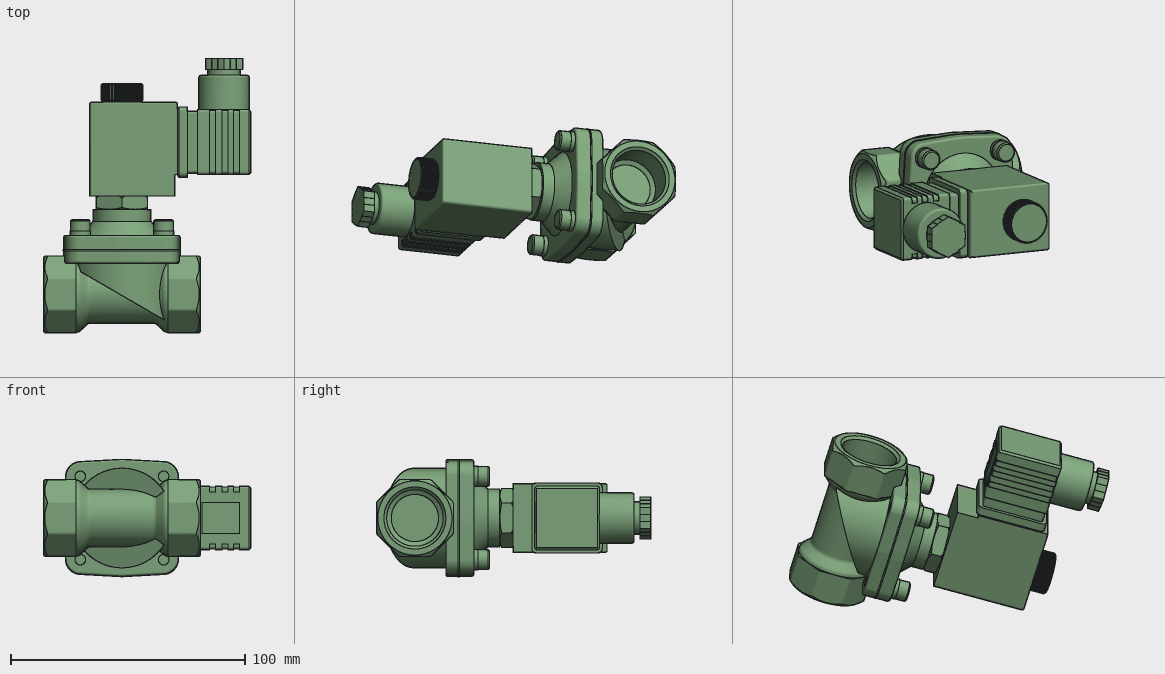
import cadquery as cq
import math


overall_length = 88.6
overall_height = 117.25

port_face = 33.5
octagon_flats = 32.8
octagon_length = 13.9
octagon_edge_round = 1.6
face_ring_radius = 15.85
face_cone_length = 1.8
corner_radius = octagon_flats / 2 / math.cos(math.pi / 8)
tube_radius = 12.4
flare_radius = 16.3
flare_length = 6.0
flare_outer_round = 2.8
flare_inner_round = 1.9
thread_diameter = 24.12
thread_depth = 14.5
thread_mouth_diameter = 26.5
seat_diameter = 20.2
seat_cone_slope = 30.0

chamber_radius = 21.3
chamber_cut_angle = 30.0
chamber_cut_drop = 0.5
flange_base = 13.2
diaphragm_base = 18.5
diaphragm_top = 19.1
bonnet_top = 25.2
flange_half = 24.95
flange_corner = 23.95
flange_corner_middle = 22.1
diaphragm_overhang = 0.14
body_middle_flat = 0.45
body_corner_start = 18.65
bonnet_middle_flat = 2.05
bonnet_corner_start = 17.6
body_edge_round = 0.9
bonnet_edge_round = 1.1

screw_spacing = 35.6
screw_head_diameter = 8.5
screw_head_top = 31.9
screw_head_chamfer = 0.6
boss_diameter = 8.8
boss_top = 27.0
screw_end_diameter = 4.5
screw_end_depth = 0.1

bonnet_cone_top = 30.1
bonnet_cone_base_radius = 18.0
bonnet_cone_top_radius = 13.4
shoulder_top = 31.2
collar_radius = 12.4
collar_top = 36.2
hexagon_flats = 22.0
hexagon_top_chamfer = 0.7
hexagon_base_cone_height = 0.9
hexagon_base_cone_width = 2.0
stem_diameter = 10.5
knob_diameter = 18.0
knob_neck_radius = 8.2
knob_base = 82.5
knob_top = 90.1
knob_chamfer = 0.7
knurl_teeth = 90
knurl_depth = 0.4

coil_base = 42.0
coil_top = 82.1
coil_left = -13.8
coil_right = 22.6
coil_half_depth = 14.65
coil_side_round = 1.15
coil_top_round = 0.8
pad_base = 51.2
pad_right = 23.7
terminal_right = 27.9
terminal_width = 30.1
terminal_corner = 2.1
terminal_chamfer = 0.7

plug_axis_height = 65.0
plug_height = 27.75
plug_depth = 27.2
plug_left = 32.2
plug_right = overall_length - port_face
plug_edge_round = 1.2
plug_end_chamfer = 0.9
plug_neck_inset = 0.55
rib_groove_width = 2.5
rib_groove_starts = (37.4, 42.7, 47.6)
rib_groove_depth = 0.35
rib_groove_wrap = 2.5
label_left = 34.2
label_right = 50.2
label_width = 13.1
label_depth = 0.2

gland_x = 43.6
gland_radius = 10.85
gland_top = 93.6
gland_edge_round = 1.0
gland_neck_radius = 7.0
gland_nut_base = 96.05
gland_nut_top = overall_height - octagon_flats / 2
gland_nut_flats = 15.6
gland_nut_rib_height = 0.2


def across(y, x=0.0):
    """Workplane square to the stem axis at height y, extruding toward +Y."""
    return cq.Workplane(cq.Plane(origin=(x, y, 0), xDir=(1, 0, 0), normal=(0, 1, 0)))


def block(x_range, y_range, z_range):
    spans = [high - low for low, high in (x_range, y_range, z_range)]
    corner = (x_range[0], y_range[0], z_range[0])
    return cq.Workplane().box(*spans, centered=False).translate(corner)


def prism(sides, flats):
    """Corner points of a regular polygon that has a flat on the local X axis."""
    radius = flats / 2 / math.cos(math.pi / sides)
    angles = [(2 * i + 1) * math.pi / sides for i in range(sides)]
    return [(radius * math.cos(a), radius * math.sin(a)) for a in angles]



def port_octagon():
    """Left-hand octagon with rounded edges and a coned outer end."""
    octagon = (
        cq.Workplane("YZ", origin=(-port_face, 0, 0))
        .polyline(prism(8, octagon_flats)).close().extrude(octagon_length)
        .edges("|X").fillet(octagon_edge_round)
    )
    coned_envelope = (
        cq.Workplane()
        .moveTo(-port_face, 0)
        .lineTo(-port_face, face_ring_radius)
        .lineTo(-port_face + face_cone_length, corner_radius)
        .lineTo(-port_face + octagon_length, corner_radius)
        .lineTo(-port_face + octagon_length, 0)
        .close().revolve(360, (0, 0, 0), (1, 0, 0))
    )
    return octagon.intersect(coned_envelope)


def port_flare():
    """Left-hand flare from the tube out to the octagon: convex bend, slope, concave bend."""
    start = -port_face + octagon_length
    end = start + flare_length
    diagonal = math.sin(math.pi / 4)
    half_bend = math.sin(math.pi / 8)
    half_rise = 1 - math.cos(math.pi / 8)
    outer = flare_outer_round
    inner = flare_inner_round
    return (
        cq.Workplane()
        .moveTo(start, 0)
        .lineTo(start, flare_radius)
        .threePointArc((start + outer * half_bend, flare_radius - outer * half_rise),
                       (start + outer * diagonal, flare_radius - outer * (1 - diagonal)))
        .lineTo(end - inner * diagonal, tube_radius + inner * (1 - diagonal))
        .threePointArc((end - inner * half_bend, tube_radius + inner * half_rise), (end, tube_radius))
        .lineTo(end, 0)
        .close().revolve(360, (0, 0, 0), (1, 0, 0))
    )


def port_bore():
    """Left-hand blind bore: coned mouth, thread bore and cone down to a flat floor."""
    step = (thread_diameter - seat_diameter) / 2
    seat_depth = thread_depth + step * math.tan(math.radians(seat_cone_slope))
    mouth = (thread_mouth_diameter - thread_diameter) / 2
    return (
        cq.Workplane()
        .moveTo(-port_face, 0)
        .lineTo(-port_face, thread_mouth_diameter / 2)
        .lineTo(-port_face + mouth, thread_diameter / 2)
        .lineTo(-port_face + thread_depth, thread_diameter / 2)
        .lineTo(-port_face + seat_depth, seat_diameter / 2)
        .lineTo(-port_face + seat_depth, 0)
        .close().revolve(360, (0, 0, 0), (1, 0, 0))
    )


def chamber():
    """Round chamber below the flange, cut off by a sloping flat."""
    cylinder = across(-chamber_radius).circle(chamber_radius).extrude(chamber_radius + flange_base)
    reach = 4 * chamber_radius
    below_flat = (
        cq.Workplane()
        .box(reach, reach, reach)
        .translate((0, -reach / 2, 0))
        .rotate((0, 0, 0), (0, 0, 1), -chamber_cut_angle)
        .translate((0, -chamber_cut_drop, 0))
    )
    return cylinder.cut(below_flat)


def flange_plate(base, top, middle_flat, corner_start, overhang=0.0):
    """Square plate with sides that bulge to a short flat and with rounded corners."""
    half = flange_half + overhang
    corner = flange_corner + overhang
    corner_middle = flange_corner_middle + overhang * math.sin(math.pi / 4)
    outline = across(base).moveTo(half, -middle_flat)
    for quarter in range(4):
        turn = quarter * math.pi / 2

        def turned(x, y):
            return (x * math.cos(turn) - y * math.sin(turn), x * math.sin(turn) + y * math.cos(turn))

        outline = (
            outline
            .lineTo(*turned(half, middle_flat))
            .lineTo(*turned(corner, corner_start))
            .threePointArc(turned(corner_middle, corner_middle), turned(corner_start, corner))
            .lineTo(*turned(middle_flat, half))
        )
    return outline.close().extrude(top - base)


def flanges():
    body_flange = flange_plate(flange_base, diaphragm_base, body_middle_flat, body_corner_start)
    diaphragm = flange_plate(
        diaphragm_base, diaphragm_top, body_middle_flat, body_corner_start, diaphragm_overhang)
    bonnet = flange_plate(diaphragm_top, bonnet_top, bonnet_middle_flat, bonnet_corner_start)
    body_flange = body_flange.faces("<Y").edges().fillet(body_edge_round)
    bonnet = bonnet.faces(">Y").edges().fillet(bonnet_edge_round)
    return body_flange.union(diaphragm).union(bonnet)


def at_screws(y):
    return across(y).rect(screw_spacing, screw_spacing, forConstruction=True).vertices()


def screw_heads():
    bosses = at_screws(bonnet_top).circle(boss_diameter / 2).extrude(boss_top - bonnet_top)
    heads = (
        at_screws(boss_top).circle(screw_head_diameter / 2).extrude(screw_head_top - boss_top)
        .faces(">Y").chamfer(screw_head_chamfer)
    )
    return bosses.union(heads)


def screw_ends():
    """Shallow round marks where the screw ends sit in the underside of the flange."""
    return at_screws(flange_base).circle(screw_end_diameter / 2).extrude(screw_end_depth)


def bonnet_neck():
    """Cone, shoulder, collar and stem turned about the stem axis."""
    return (
        cq.Workplane()
        .moveTo(0, bonnet_top)
        .lineTo(bonnet_cone_base_radius, bonnet_top)
        .lineTo(bonnet_cone_top_radius, bonnet_cone_top)
        .lineTo(collar_radius, shoulder_top)
        .lineTo(collar_radius, collar_top)
        .lineTo(stem_diameter / 2, collar_top)
        .lineTo(stem_diameter / 2, coil_top)
        .lineTo(0, coil_top)
        .close().revolve(360, (0, 0, 0), (0, 1, 0))
    )


def hexagon():
    """Hexagon with a small chamfer on top and a wide cone below."""
    height = coil_base - collar_top
    sharp = across(collar_top).polyline(prism(6, hexagon_flats)).close().extrude(height)
    corner = hexagon_flats / 2 / math.cos(math.pi / 6)
    coned_envelope = (
        across(collar_top).circle(corner).extrude(height)
        .faces(">Y").chamfer(hexagon_top_chamfer)
        .faces("<Y").chamfer(hexagon_base_cone_height, hexagon_base_cone_width)
    )
    return sharp.intersect(coned_envelope)


def knob():
    """Knurled knob on the end of the stem."""
    crest = knob_diameter / 2
    root = crest - knurl_depth
    points = []
    for i in range(2 * knurl_teeth):
        radius = crest if i % 2 == 0 else root
        angle = i * math.pi / knurl_teeth
        points.append((radius * math.cos(angle), radius * math.sin(angle)))
    knurled = across(knob_base).polyline(points).close().extrude(knob_top - knob_base)
    coned_envelope = (
        across(knob_base).circle(crest).extrude(knob_top - knob_base)
        .edges().chamfer(knob_chamfer)
    )
    neck = across(coil_top).circle(knob_neck_radius).extrude(knob_base - coil_top)
    return knurled.intersect(coned_envelope).union(neck)


def make_valve():
    tube = cq.Workplane("YZ").circle(tube_radius).extrude(port_face - octagon_length, both=True)
    valve = chamber().union(tube).union(flanges())
    for make_end in (port_octagon, port_flare):
        end = make_end()
        valve = valve.union(end).union(end.mirror("YZ"))
    bore = port_bore()
    valve = valve.cut(bore).cut(bore.mirror("YZ")).cut(screw_ends())
    for addition in (bonnet_neck(), screw_heads(), hexagon(), knob()):
        valve = valve.union(addition)
    return valve



def make_coil():
    depth_range = (-coil_half_depth, coil_half_depth)
    winding = block((coil_left, pad_right), (coil_base, coil_top), depth_range)
    winding = winding.edges("|Y and <X").fillet(coil_side_round)
    winding = winding.faces(">Y").edges().fillet(coil_top_round)
    below_pad = block((coil_right, pad_right), (coil_base, pad_base), depth_range)
    terminal_base = (
        cq.Workplane("YZ", origin=(pad_right, plug_axis_height, 0))
        .rect(terminal_width, terminal_width).extrude(terminal_right - pad_right)
        .edges("|X").fillet(terminal_corner)
        .faces("<X").chamfer(terminal_chamfer)
    )
    stem_hole = across(coil_base).circle(stem_diameter / 2).extrude(coil_top - coil_base)
    return winding.cut(below_pad).union(terminal_base).cut(stem_hole)



def plug_bar(left, right, inset=0.0):
    """Rounded rectangular length of the plug."""
    return (
        cq.Workplane("YZ", origin=(left, plug_axis_height, 0))
        .rect(plug_height - 2 * inset, plug_depth - 2 * inset).extrude(right - left)
        .edges("|X").fillet(plug_edge_round)
    )


def rib_groove(left):
    """Shallow groove over the two Z sides, ending a short way onto the Y sides."""
    right = left + rib_groove_width
    half_width = plug_depth / 2 - rib_groove_wrap
    untouched = block((left, right), (plug_axis_height - plug_height, plug_axis_height + plug_height),
                      (-half_width, half_width))
    shell = plug_bar(left, right).cut(plug_bar(left, right, rib_groove_depth))
    return shell.cut(untouched)


def gland():
    """Cable gland with its compression nut."""
    gland_body = (
        across(plug_axis_height, gland_x).circle(gland_radius).extrude(gland_top - plug_axis_height)
        .faces(">Y").edges().fillet(gland_edge_round)
    )
    neck = across(gland_top, gland_x).circle(gland_neck_radius).extrude(gland_nut_base - gland_top)
    return gland_body.union(neck).union(gland_nut())


def gland_nut():
    """Hexagon whose flats each carry a low rib over their middle third."""
    height = gland_nut_top - gland_nut_base
    nut = across(gland_nut_base, gland_x).polyline(prism(6, gland_nut_flats)).close().extrude(height)
    rib_width = gland_nut_flats * math.tan(math.pi / 6) / 3
    for side in range(6):
        rib = (
            across(gland_nut_base, gland_x)
            .transformed(rotate=(0, 0, 60 * side))
            .center(gland_nut_flats / 2, 0)
            .rect(2 * gland_nut_rib_height, rib_width).extrude(height)
        )
        nut = nut.union(rib)
    return nut


def make_plug():
    housing = plug_bar(plug_left, plug_right).faces(">X").chamfer(plug_end_chamfer)
    for start in rib_groove_starts:
        housing = housing.cut(rib_groove(start))
    underside = plug_axis_height - plug_height / 2
    label = block((label_left, label_right), (underside, underside + label_depth),
                  (-label_width / 2, label_width / 2))
    neck = plug_bar(terminal_right, plug_left, plug_neck_inset)
    return housing.cut(label).union(neck).union(gland())


valve = make_valve()
coil = make_coil()
plug = make_plug()

result = cq.Compound.makeCompound([body.solids().val() for body in (valve, coil, plug)])